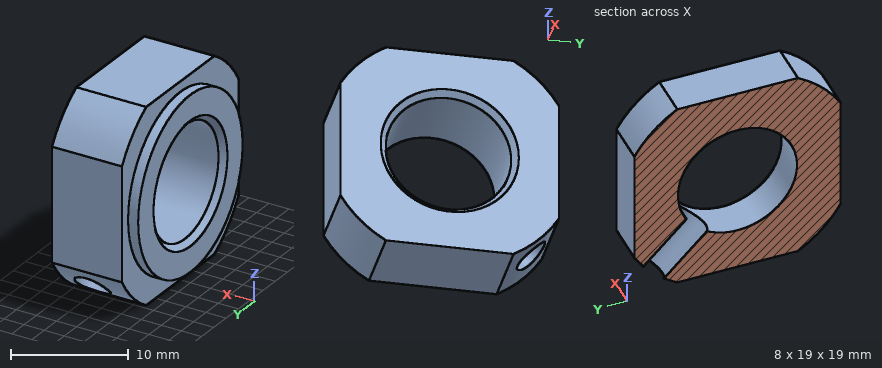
import cadquery as cq

width = 19.0
total_length = 8.0
collar_length = 1.0
collar_diameter = 17.0
corner_diameter = 22.0
bore_diameter = 10.9
chamfer = 0.55
screw_diameter = 3.3
screw_position = 5.0

body_length = total_length - collar_length


def disc(diameter, start, length):
    """Cylinder along X beginning at the given X position."""
    return cq.Workplane("YZ", origin=(start, 0, 0)).circle(diameter / 2).extrude(length)


def square_body():
    """Square block whose corners are turned to a circle."""
    block = cq.Workplane("YZ", origin=(collar_length, 0, 0)).rect(width, width).extrude(body_length)
    return block.intersect(disc(corner_diameter, collar_length, body_length))


def chamfered_bore():
    """Through bore, flared at both ends."""
    radius = bore_diameter / 2
    profile = [
        (0, 0),
        (0, radius + chamfer),
        (chamfer, radius),
        (total_length - chamfer, radius),
        (total_length, radius + chamfer),
        (total_length, 0),
    ]
    return cq.Workplane("XY").polyline(profile).close().revolve(360, (0, 0, 0), (1, 0, 0))


def screw_hole():
    """Radial hole from the bore out through the rounded +Y, -Z corner."""
    axis = cq.Vector(0, 1, -1)
    start = cq.Vector(screw_position, 0, 0)
    return cq.Workplane(cq.Solid.makeCylinder(screw_diameter / 2, corner_diameter, start, axis))


ring = square_body().union(disc(collar_diameter, 0, collar_length))
result = ring.cut(chamfered_bore()).cut(screw_hole())